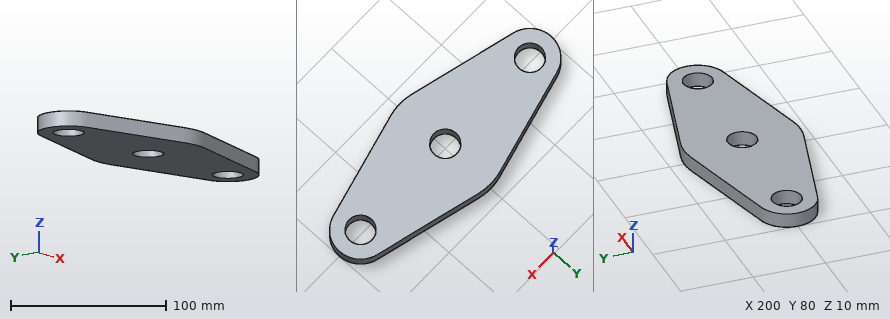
import cadquery as cq
import math

length = 200.0
width = 80.0
thickness = 10.0
end_radius = 20.0
hole_diameter = 20.0

middle_radius = width / 2
hole_spacing = length / 2 - end_radius
slope_angle = math.asin((middle_radius - end_radius) / hole_spacing)


def tangent_point(center_x, radius):
    """Point where the upper right tangent line touches a circle on the X axis."""
    return (
        center_x + radius * math.sin(slope_angle),
        radius * math.cos(slope_angle),
    )


middle_x, middle_y = tangent_point(0, middle_radius)
end_x, end_y = tangent_point(hole_spacing, end_radius)

plate = (
    cq.Workplane("XY")
    .moveTo(-middle_x, middle_y)
    .threePointArc((0, middle_radius), (middle_x, middle_y))
    .lineTo(end_x, end_y)
    .threePointArc((length / 2, 0), (end_x, -end_y))
    .lineTo(middle_x, -middle_y)
    .threePointArc((0, -middle_radius), (-middle_x, -middle_y))
    .lineTo(-end_x, -end_y)
    .threePointArc((-length / 2, 0), (-end_x, end_y))
    .close()
    .extrude(thickness)
)

hole_centers = [(-hole_spacing, 0), (0, 0), (hole_spacing, 0)]
result = (
    plate.faces(">Z")
    .workplane(origin=(0, 0, thickness))
    .pushPoints(hole_centers)
    .hole(hole_diameter)
)